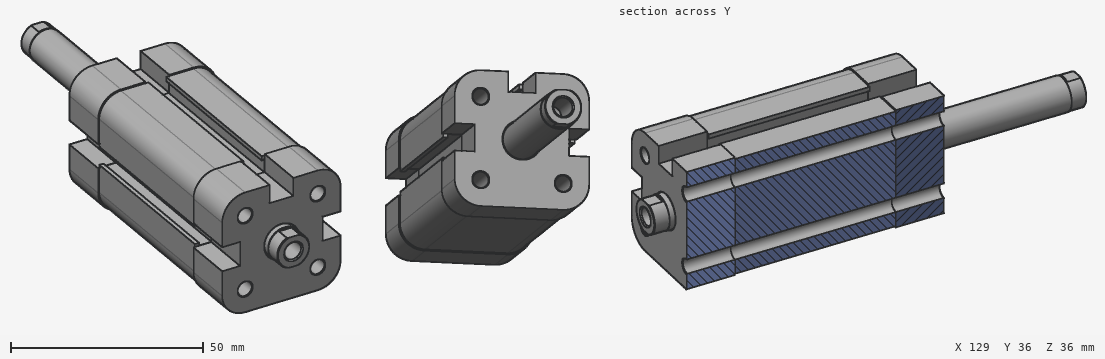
import cadquery as cq
import math

TOTAL_LENGTH = 129.0
ROD_FRONT_REACH = 46.0
CAP_LENGTH = 14.5
BARREL_LENGTH = 48.0

CAP_SIDE = 36.0
CAP_CORNER_RADIUS = 7.0
BARREL_INSET = 0.4
BARREL_SIDE = CAP_SIDE - 2 * BARREL_INSET
BOLT_OFFSET = CAP_SIDE / 2 - CAP_CORNER_RADIUS
BOLT_HOLE_DIAMETER = 4.3
BOLT_HOLE_CHAMFER = 0.19

CAP_SLOT_WIDTH = 7.2
BARREL_SLOT_WIDTH = 7.0
SLOT_FLOOR_HEIGHT = CAP_SIDE / 2 - 5.4
LIP_GAP = 5.4
LIP_THICKNESS = 1.3
SLOT_ANGLES = (0, 90, -90)

ROD_DIAMETER = 10.0
BORE_CHAMFER = 0.3
TIP_DIAMETER = 9.8
TIP_LENGTH = 4.5
TIP_CHAMFER = 0.19
FLAT_DISTANCE = 9.0
FLAT_LENGTH = 4.1
THREAD_HOLE_DIAMETER = 5.0
THREAD_HOLE_DEPTH = 12.9
THREAD_HOLE_CHAMFER = 0.4
DRILL_POINT_ANGLE = 118.0

ROD_FRONT = -TOTAL_LENGTH / 2
FRONT_CAP_START = ROD_FRONT + ROD_FRONT_REACH
BARREL_START = FRONT_CAP_START + CAP_LENGTH
BARREL_MIDDLE = BARREL_START + BARREL_LENGTH / 2


def section_plane(x):
    """Plane facing +X at station x, with local axes along Y and Z."""
    return cq.Workplane("YZ", origin=(x, 0, 0))


def mirror_along_x(shape, x):
    """Copy of a shape, mirrored in the plane across X at station x."""
    return shape.mirror("YZ", (x, 0, 0))


def make_rounded_block(x, length, side, corner_radius):
    block = section_plane(x).rect(side, side).extrude(length)
    return block.edges("|X").fillet(corner_radius)


def make_round_cutter(x, length, diameter, chamfer=0):
    """Cylinder along +X from station x, flared at its start when a chamfer is given."""
    radius = diameter / 2
    cutter = section_plane(x).circle(radius).extrude(length)
    if chamfer:
        flare = section_plane(x).circle(radius + chamfer).workplane(offset=chamfer).circle(radius).loft()
        cutter = cutter.union(flare)
    return cutter


def cut_bore_and_bolt_holes(block, x, length, bore_chamfer=0, bolt_chamfer=0):
    """Cut the bore that the rod fills and the four bolt holes around it."""
    block = block.cut(make_round_cutter(x, length, ROD_DIAMETER, bore_chamfer))
    bolt_hole = make_round_cutter(x, length, BOLT_HOLE_DIAMETER, bolt_chamfer)
    for y in (-BOLT_OFFSET, BOLT_OFFSET):
        for z in (-BOLT_OFFSET, BOLT_OFFSET):
            block = block.cut(bolt_hole.translate((0, y, z)))
    return block


def cut_slots(block, top_slot):
    """Cut the top slot and its copies on the two flanks."""
    for angle in SLOT_ANGLES:
        block = block.cut(top_slot.rotate((0, 0, 0), (1, 0, 0), angle))
    return block


def make_slot_cutter(x, length, width, top):
    """Straight slot cutter from the slot floor up to the given height."""
    depth = top - SLOT_FLOOR_HEIGHT
    return section_plane(x).center(0, SLOT_FLOOR_HEIGHT + depth / 2).rect(width, depth).extrude(length)


def make_front_cap():
    cap = make_rounded_block(FRONT_CAP_START, CAP_LENGTH, CAP_SIDE, CAP_CORNER_RADIUS)
    slot = make_slot_cutter(FRONT_CAP_START, CAP_LENGTH, CAP_SLOT_WIDTH, CAP_SIDE / 2)
    cap = cut_slots(cap, slot)
    return cut_bore_and_bolt_holes(cap, FRONT_CAP_START, CAP_LENGTH, BORE_CHAMFER, BOLT_HOLE_CHAMFER)


def make_barrel():
    corner_radius = CAP_CORNER_RADIUS - BARREL_INSET
    barrel = make_rounded_block(BARREL_START, BARREL_LENGTH, BARREL_SIDE, corner_radius)
    top = BARREL_SIDE / 2
    mouth = make_slot_cutter(BARREL_START, BARREL_LENGTH, LIP_GAP, top)
    chamber = make_slot_cutter(BARREL_START, BARREL_LENGTH, BARREL_SLOT_WIDTH, top - LIP_THICKNESS)
    barrel = cut_slots(barrel, mouth.union(chamber))
    return cut_bore_and_bolt_holes(barrel, BARREL_START, BARREL_LENGTH)


def make_front_tip():
    """Stepped-down rod end with two wrench flats and a chamfered rim."""
    tip = section_plane(ROD_FRONT).circle(TIP_DIAMETER / 2).extrude(TIP_LENGTH)
    tip = tip.faces("<X").chamfer(TIP_CHAMFER)
    flat_depth = (TIP_DIAMETER - FLAT_DISTANCE) / 2
    for side in (-1, 1):
        center_z = side * (FLAT_DISTANCE + flat_depth) / 2
        flat = section_plane(ROD_FRONT).center(0, center_z).rect(TIP_DIAMETER, flat_depth)
        tip = tip.cut(flat.extrude(FLAT_LENGTH))
    return tip


def make_front_thread_hole():
    """Blind hole cutter with a chamfered mouth and a conical drill point."""
    radius = THREAD_HOLE_DIAMETER / 2
    point_length = radius / math.tan(math.radians(DRILL_POINT_ANGLE / 2))
    hole_end = ROD_FRONT + THREAD_HOLE_DEPTH
    profile = [
        (ROD_FRONT, 0),
        (ROD_FRONT, radius + THREAD_HOLE_CHAMFER),
        (ROD_FRONT + THREAD_HOLE_CHAMFER, radius),
        (hole_end, radius),
        (hole_end + point_length, 0),
    ]
    return cq.Workplane("XZ").polyline(profile).close().revolve(360, (0, 0, 0), (1, 0, 0))


def make_rod():
    shaft_start = ROD_FRONT + TIP_LENGTH
    rod = section_plane(shaft_start).circle(ROD_DIAMETER / 2).extrude(TOTAL_LENGTH - 2 * TIP_LENGTH)
    tip = make_front_tip()
    hole = make_front_thread_hole()
    rod = rod.union(tip).union(mirror_along_x(tip, 0))
    return rod.cut(hole).cut(mirror_along_x(hole, 0))


rod = make_rod()
barrel = make_barrel()
front_cap = make_front_cap()
rear_cap = mirror_along_x(front_cap, BARREL_MIDDLE)

bodies = [rod, barrel, front_cap, rear_cap]
result = cq.Compound.makeCompound([body.solids().val() for body in bodies])